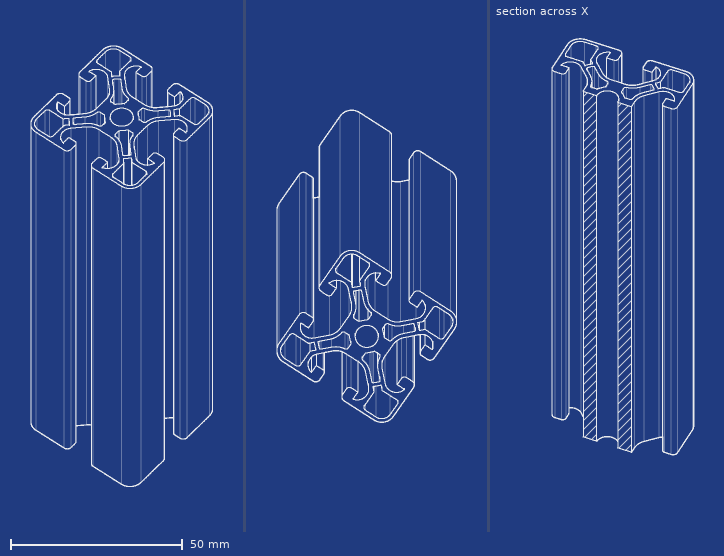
import cadquery as cq
import math

length = 140.0
width = 40.0
half = width / 2
corner_radius = 4.0

bore_radius = 3.4
wall = 1.1
slanted_wall = 1.3

mouth_width = 8.0
lip_depth = 4.5
lip_radius = 1.4
lip_inner_radius = 1.0
hook_half = 7.3
bulb_radius = 3.4
bulb_half = 10.0
slant_offset = 3.5
core_width = 15.5
floor_radius = 4.9

cavity_inner = 11.2
cavity_fillet = 1.0

web_inner_sum = 20.2
web_fillet = 0.4
spoke_half = 2.5
bore_flat_sum = 7.0
spoke_fillet = 0.7

mouth_half = mouth_width / 2
floor_height = core_width / 2
diagonal = math.sqrt(2)
half_bend = math.pi / 8
cavity_outer = half - wall
inner_offset = slant_offset - diagonal * slanted_wall
web_outer_sum = web_inner_sum + diagonal * wall


def slot_cutter():
    """T-slot opening toward +Y, with rounded lips, round bulbs and slanted walls."""
    lip_bottom = half - lip_depth
    bulb_x = bulb_half - bulb_radius
    bulb_y = bulb_x + slant_offset + diagonal * bulb_radius
    roof = bulb_y + math.sqrt(bulb_radius**2 - (hook_half - bulb_x) ** 2)
    tangent = bulb_radius / diagonal
    floor_setback = floor_radius * math.tan(half_bend)
    floor_corner = floor_height - slant_offset
    floor_end = floor_corner - floor_setback
    slant_end = floor_corner + floor_setback / diagonal
    arc_x = floor_end + floor_radius * math.sin(half_bend)
    arc_y = floor_height + floor_radius * (1 - math.cos(half_bend))
    lip_mid = lip_radius * (1 - 1 / diagonal)
    lip_inner_mid = lip_inner_radius * (1 - 1 / diagonal)

    half_slot = (
        cq.Workplane("XY")
        .moveTo(0, half)
        .lineTo(mouth_half + lip_radius, half)
        .threePointArc((mouth_half + lip_mid, half - lip_mid), (mouth_half, half - lip_radius))
        .lineTo(mouth_half, lip_bottom + lip_inner_radius)
        .threePointArc(
            (mouth_half + lip_inner_mid, lip_bottom + lip_inner_mid),
            (mouth_half + lip_inner_radius, lip_bottom),
        )
        .lineTo(hook_half, lip_bottom)
        .lineTo(hook_half, roof)
        .threePointArc((bulb_half, bulb_y), (bulb_x + tangent, bulb_y - tangent))
        .lineTo(slant_end, slant_end + slant_offset)
        .threePointArc((arc_x, arc_y), (floor_end, floor_height))
        .lineTo(0, floor_height)
        .close()
        .extrude(length)
    )
    return half_slot.union(half_slot.mirror("YZ"))


def symmetric_prism(side, middle=()):
    """Prism outlined by the middle points, the side points and their reflection across y = x."""
    reflected = [(y, x) for x, y in reversed(side)]
    return cq.Workplane("XY").polyline([*middle, *side, *reflected]).close().extrude(length)


def fillet_at(prism, radius, points):
    """Round the upright edges nearest to the given points and their reflections across y = x."""
    for x, y in points:
        for px, py in sorted({(x, y), (y, x)}):
            edge = cq.selectors.NearestToPointSelector((px, py, length / 2))
            prism = prism.edges("|Z").edges(edge).fillet(radius)
    return prism


def web_corner(coordinate_sum):
    """Point where a face of the cross web meets the slanted wall."""
    return ((coordinate_sum - inner_offset) / 2, (coordinate_sum + inner_offset) / 2)


def corner_cavity():
    """Hollow behind the outer corner in the +X +Y quadrant."""
    outer_corner = (cavity_outer, cavity_outer)
    side_corner = (cavity_inner, cavity_outer)
    bend = (cavity_inner, cavity_inner + inner_offset)
    web = web_corner(web_outer_sum)
    prism = symmetric_prism([side_corner, bend, web], middle=[outer_corner])
    prism = fillet_at(prism, corner_radius - wall, [outer_corner])
    return fillet_at(prism, cavity_fillet, [side_corner])


def diagonal_cavity():
    """Hollow between the two slanted walls in the +X +Y quadrant."""
    web = web_corner(web_inner_sum)
    core_top = floor_height - wall
    bend = (core_top - inner_offset, core_top)
    channel = symmetric_prism([web, bend, (0, core_top)])
    channel = fillet_at(channel, floor_radius + wall, [bend])
    channel = fillet_at(channel, web_fillet, [web])
    quadrant = symmetric_prism(
        [(spoke_half, half), (spoke_half, bore_flat_sum - spoke_half)], middle=[(half, half)]
    )
    return fillet_at(channel.intersect(quadrant), spoke_fillet, [(spoke_half, core_top)])


blank = cq.Workplane("XY").rect(width, width).extrude(length).edges("|Z").fillet(corner_radius)
result = blank.cut(cq.Workplane("XY").circle(bore_radius).extrude(length))
for cutter in (slot_cutter(), corner_cavity(), diagonal_cavity()):
    for quarter in range(4):
        result = result.cut(cutter.rotate((0, 0, 0), (0, 0, 1), 90 * quarter))